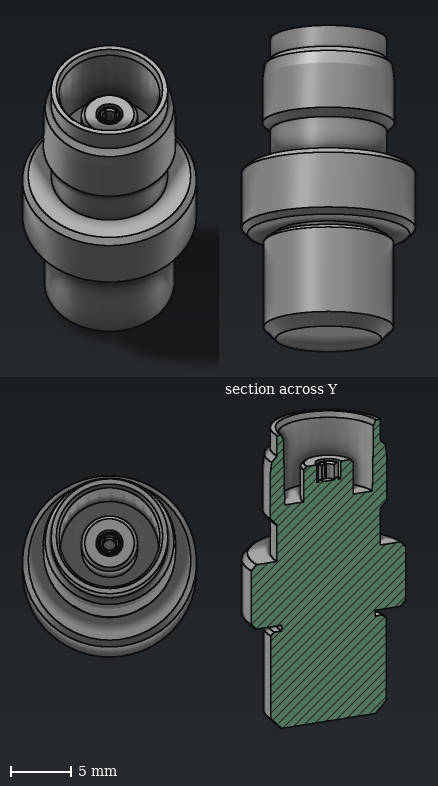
import cadquery as cq

TOTAL_HEIGHT = 25.7
NECK_RADIUS = 4.85
COLLAR_RADIUS = 5.5
COLLAR_SHOULDER_RADIUS = 5.35
FLANGE_RADIUS = 7.25
PLUG_RADIUS = 5.42
GROOVE_RADIUS = 4.42

PLUG_TOP = 8.55
FLANGE_BOTTOM = 9.02
FLANGE_TOP = 14.7
COLLAR_BOTTOM = 17.85
COLLAR_TAPER_START = 22.33
COLLAR_SHOULDER = 23.4
COLLAR_TOP = COLLAR_SHOULDER + COLLAR_SHOULDER_RADIUS - NECK_RADIUS

FLANGE_CHAMFER = 0.5
PLUG_TOP_CHAMFER = 0.3
PLUG_END_CHAMFER = PLUG_RADIUS - GROOVE_RADIUS
COLLAR_BOTTOM_CHAMFER = COLLAR_RADIUS - NECK_RADIUS

MOUTH_RADIUS = 4.42
MOUTH_DEPTH = 0.5
SOCKET_RADIUS = 4.2
SOCKET_FLOOR_RADIUS = 4.09
SOCKET_DEPTH = 6.17

INSULATOR_RADIUS = 2.35
INSULATOR_CHAMFER = 0.28
INSULATOR_RECESS = 3.1
INSULATOR_TOP = TOTAL_HEIGHT - INSULATOR_RECESS
INSULATOR_BORE_RADIUS = 1.1
INSULATOR_BORE_DEPTH = 1.55

CONTACT_RADIUS = 0.95
CONTACT_CHAMFER = 0.08
CONTACT_BORE_RADIUS = 0.57
CONTACT_BORE_CHAMFER = 0.18
CONTACT_RECESS = 0.1
CONTACT_TOP = INSULATOR_TOP - CONTACT_RECESS
SLOT_WIDTH = 0.13
SLOT_DEPTH = 1.28


def disc(radius, bottom, top):
    """Cylinder about the Z axis between two heights."""
    return cq.Workplane("XY").workplane(offset=bottom).circle(radius).extrude(top - bottom)


def revolve_profile(points):
    """Solid of revolution about Z from (radius, height) points."""
    return cq.Workplane("XZ").polyline(points).close().revolve(360, (0, 0, 0), (0, 1, 0))


def make_body():
    plug = disc(PLUG_RADIUS, 0, PLUG_TOP)
    plug = plug.faces("<Z").chamfer(PLUG_END_CHAMFER).faces(">Z").chamfer(PLUG_TOP_CHAMFER)
    groove = disc(GROOVE_RADIUS, PLUG_TOP, FLANGE_BOTTOM)
    flange = disc(FLANGE_RADIUS, FLANGE_BOTTOM, FLANGE_TOP).faces("<Z or >Z").chamfer(FLANGE_CHAMFER)
    neck = disc(NECK_RADIUS, FLANGE_TOP, TOTAL_HEIGHT)
    collar = revolve_profile([
        (0, COLLAR_BOTTOM),
        (NECK_RADIUS, COLLAR_BOTTOM),
        (COLLAR_RADIUS, COLLAR_BOTTOM + COLLAR_BOTTOM_CHAMFER),
        (COLLAR_RADIUS, COLLAR_TAPER_START),
        (COLLAR_SHOULDER_RADIUS, COLLAR_SHOULDER),
        (NECK_RADIUS, COLLAR_TOP),
        (0, COLLAR_TOP),
    ])
    return plug.union(groove).union(flange).union(neck).union(collar)


def make_socket():
    floor = TOTAL_HEIGHT - SOCKET_DEPTH
    return revolve_profile([
        (0, floor),
        (SOCKET_FLOOR_RADIUS, floor),
        (SOCKET_RADIUS, TOTAL_HEIGHT - MOUTH_DEPTH),
        (MOUTH_RADIUS, TOTAL_HEIGHT),
        (0, TOTAL_HEIGHT),
    ])


def make_insulator():
    insulator = disc(INSULATOR_RADIUS, TOTAL_HEIGHT - SOCKET_DEPTH, INSULATOR_TOP)
    return insulator.faces(">Z").chamfer(INSULATOR_CHAMFER)


def make_contact():
    bottom = INSULATOR_TOP - INSULATOR_BORE_DEPTH
    contact = disc(CONTACT_RADIUS, bottom, CONTACT_TOP).faces(">Z").chamfer(CONTACT_CHAMFER)
    contact = contact.cut(disc(CONTACT_BORE_RADIUS, bottom, CONTACT_TOP))
    contact = contact.faces(">Z").edges(cq.selectors.RadiusNthSelector(0))
    contact = contact.chamfer(CONTACT_BORE_CHAMFER)
    for angle in (0, 90):
        slot = (
            cq.Workplane("XY")
            .workplane(offset=CONTACT_TOP - SLOT_DEPTH)
            .rect(2 * CONTACT_RADIUS, SLOT_WIDTH)
            .extrude(SLOT_DEPTH)
            .rotate((0, 0, 0), (0, 0, 1), angle)
        )
        contact = contact.cut(slot)
    return contact


insulator_bore = disc(INSULATOR_BORE_RADIUS, INSULATOR_TOP - INSULATOR_BORE_DEPTH, INSULATOR_TOP)

result = make_body().cut(make_socket()).union(make_insulator())
result = result.cut(insulator_bore).union(make_contact())